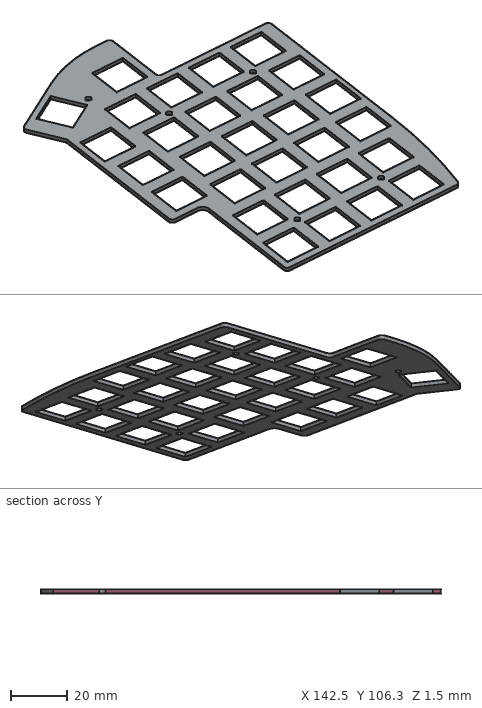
import cadquery as cq
import math

thickness = 1.5
width = 142.5
height = 106.3

shoulder_y = 56.0
main_left = 27.5
step_x = 95.3
step_y = 22.5
lower_y = 7.8
crown_start = 98.2
crown_radius = 195.2
wing_radius = 52.0
corner_radius = 1.5
step_radius = 2.8
thumb_angle = 30.0
tip_x = 20.8

switch_size = 14.0
column_count = 6
row_count = 4
first_column_x = 37.3
column_span = 95.2
column_pitch = column_span / (column_count - 1)
row_pitch = 19.1
bottom_row_y = [36.3, 38.6, 40.0, 38.6, 33.8, 32.3]
wing_key_y = 45.7
outer_thumb_key = (22.0, 16.4)
inner_thumb_y = [17.5, 19.7, 19.7]

screw_diameter = 2.3
left_screw_x = 46.5
right_screw_x = 122.5
left_screw_y = 45.7
right_screw_y = 43.3
screw_row_spacing = 2 * row_pitch
wing_screw = (22.0, 28.5)

sin_t = math.sin(math.radians(thumb_angle))
cos_t = math.cos(math.radians(thumb_angle))
tan_t = sin_t / cos_t
tip_y = corner_radius * (1 - sin_t - cos_t)
tip = (tip_x, tip_y)
tip_end = (tip_x + (lower_y - tip_y) / tan_t, lower_y)

slant_x = wing_radius * (1 - cos_t)
slant_y = tip_y + (tip_x - slant_x) / tan_t
wing_arc_top = slant_y + wing_radius * sin_t


def wing_arc_point(angle):
    """Point on the wing's left arc, at the given turn from its vertical upper end."""
    turn = math.radians(angle)
    x = wing_radius * (1 - math.cos(turn))
    return (x, wing_arc_top - wing_radius * math.sin(turn))


def crown_point(x):
    """Point on the crown arc, which leaves the top edge tangentially."""
    run = x - crown_start
    return (x, height - crown_radius + math.sqrt(crown_radius**2 - run**2))


wing_corner = (0, shoulder_y)
wing_notch = (main_left, shoulder_y)
top_left = (main_left, height)
top_right = crown_point(width)
bottom_right = (width, step_y)
step_notch = (step_x, step_y)
step_corner = (step_x, lower_y)


def blank():
    """Plate outline with sharp corners, extruded to the sheet thickness."""
    return (
        cq.Workplane("XY")
        .moveTo(*wing_corner)
        .lineTo(*wing_notch)
        .lineTo(*top_left)
        .lineTo(crown_start, height)
        .threePointArc(crown_point((crown_start + width) / 2), top_right)
        .lineTo(*bottom_right)
        .lineTo(*step_notch)
        .lineTo(*step_corner)
        .lineTo(*tip_end)
        .lineTo(*tip)
        .lineTo(slant_x, slant_y)
        .threePointArc(wing_arc_point(thumb_angle / 2), wing_arc_point(0))
        .close()
        .extrude(thickness)
    )


def round_corner(plate, corner, radius):
    """Round the upright edge standing at the given corner."""
    middle = (corner[0], corner[1], thickness / 2)
    return plate.edges(cq.NearestToPointSelector(middle)).fillet(radius)


def switch_positions():
    """Centres of all the openings that are square to the axes."""
    points = []
    for column, bottom_y in enumerate(bottom_row_y):
        x = first_column_x + column * column_pitch
        for row in range(row_count):
            points.append((x, bottom_y + row * row_pitch))
    points.append((first_column_x - column_pitch, wing_key_y))
    for index, y in enumerate(inner_thumb_y):
        points.append((first_column_x + (index + 0.5) * column_pitch, y))
    return points


def screw_positions():
    """Centres of the screw holes: two per side of the key field and one in the wing."""
    points = [wing_screw]
    for x, y in [(left_screw_x, left_screw_y), (right_screw_x, right_screw_y)]:
        points.append((x, y))
        points.append((x, y + screw_row_spacing))
    return points


plate = blank()
for corner in [wing_corner, wing_notch, top_left, top_right, bottom_right, step_corner, tip, tip_end]:
    plate = round_corner(plate, corner, corner_radius)
plate = round_corner(plate, step_notch, step_radius)

switch_cuts = (
    cq.Workplane("XY")
    .pushPoints(switch_positions())
    .rect(switch_size, switch_size)
    .extrude(thickness)
)
thumb_cut = (
    cq.Workplane("XY")
    .transformed(offset=cq.Vector(*outer_thumb_key), rotate=cq.Vector(0, 0, thumb_angle))
    .rect(switch_size, switch_size)
    .extrude(thickness)
)
screw_cuts = cq.Workplane("XY").pushPoints(screw_positions()).circle(screw_diameter / 2).extrude(thickness)

result = plate.cut(switch_cuts).cut(thumb_cut).cut(screw_cuts)